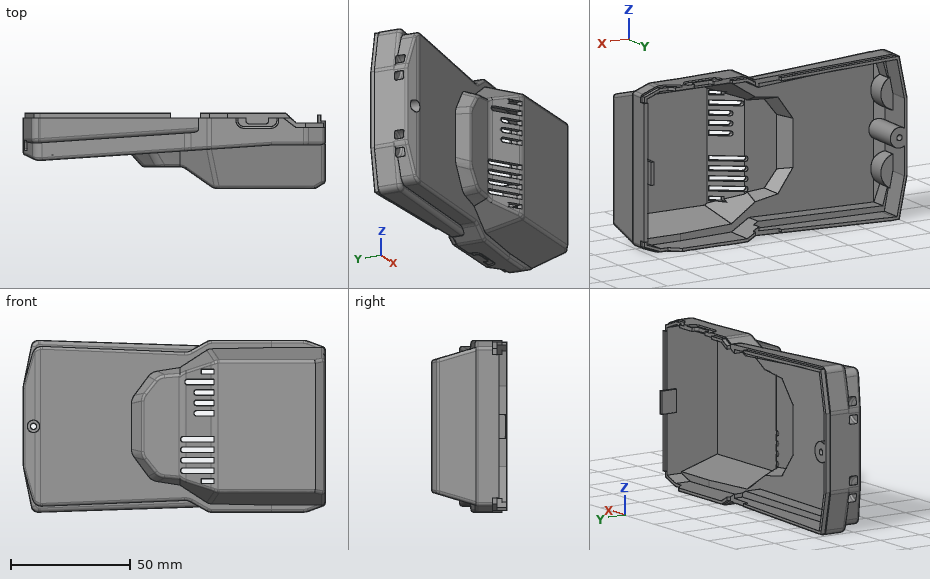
import cadquery as cq

LENGTH = 126.5
WIDTH = 72.0
DEPTH = 31.6
HALF_WIDTH = WIDTH / 2
WALL = 2.0
CLEAR = 10.0
EDGE_FILLET = 1.2
END_MARGIN = 0.4
CORNER_REACH = 1.0
FRONT_NORMAL_Y = -0.5
TOLERANCE = 0.1

FLANGE_DEPTH = 13.4
SLOPE_END_X = 104.0
SLOPE = 0.067
END_HALF_WIDTH = 17.0
END_CORNER_RADIUS = 8.0
END_CHAMFER_X = 6.0
END_BLEND_RADIUS = 5.0
END_CHAMFER_DEPTH = 17.2

STEP_END_X = 73.5
STEP_END_DEPTH = 8.0
STEP_END_HALF_WIDTH = 33.8
STEP_CORNER_X = 3.9
STEP_WIDEST_X = 7.0
STEP_CORNER_RADIUS = 3.0
STEP_FILLET = 1.8

TRAY_CORNER = (4.8, 33.6)
TRAY_NECK = (69.0, 31.0)
HEAD_SHOULDER_X = 77.8
HEAD_TAPER_X = 118.4
HEAD_END_HALF_WIDTH = 33.0
TRAY_CORNER_RADIUS = 4.0
TRAY_NECK_RADIUS = 5.0
HEAD_SHOULDER_RADIUS = 4.0
HEAD_TAPER_RADIUS = 6.0
HEAD_END_RADIUS = 1.5

STEP_HALF = [
    (0, END_HALF_WIDTH),
    (STEP_CORNER_X, HALF_WIDTH),
    (STEP_WIDEST_X, HALF_WIDTH),
    (STEP_END_X, STEP_END_HALF_WIDTH),
]
TRAY_HALF = [
    (0, END_HALF_WIDTH),
    TRAY_CORNER,
    TRAY_NECK,
    (HEAD_SHOULDER_X, HALF_WIDTH),
    (HEAD_TAPER_X, HALF_WIDTH),
    (LENGTH, HEAD_END_HALF_WIDTH),
]
TRAY_ROUNDING = [
    (0, END_CORNER_RADIUS),
    (TRAY_CORNER[0], TRAY_CORNER_RADIUS),
    (TRAY_NECK[0], TRAY_NECK_RADIUS),
    (HEAD_SHOULDER_X, HEAD_SHOULDER_RADIUS),
    (HEAD_TAPER_X, HEAD_TAPER_RADIUS),
    (LENGTH, HEAD_END_RADIUS),
]

ROOT_DEPTH = 13.0
BUMP_DEPTH = 22.5
BUMP_END_X = 76.0
BUMP_ROOT = [(41.4, 10.4), (51.6, 23.8), (BUMP_END_X, 27.5)]
BUMP_FRONT = [(50.0, 12.5), (57.0, 21.2), (BUMP_END_X, 22.6)]
HEAD_ROOT = [(62.6, 24.0), (77.3, 33.1), (LENGTH, 33.1)]
HEAD_FRONT = [(65.8, 18.0), (81.1, 27.6), (LENGTH, 27.6)]
BUMP_CORNER_RADIUS = 6.0
BUMP_FILLET = 1.5
RAMP_START_X = 66.9
RAMP_END_X = 79.9
RAMP_RADIUS = 5.0
HEAD_NECK_RADIUS = 4.0
HEAD_CHAMFER_X = 122.3
HEAD_CHAMFER_DEPTH = 29.0
HEAD_FILLET = 1.5

RIM_DEPTH = 2.0
LIP_INSET = 0.7
LIP_GAP = (61.7, 74.2)
LIP_SIDE_START = 85.6
LIP_DROP_X = 109.9
WALL_DROP_X = 108.9
LOW_END_X = 114.3
LOW_DEPTH = 4.1
PANEL_THICKNESS = 1.8
PANEL_DEPTH = 3.3
PANEL_WIDTH = 60.0
TAB_WIDTH = 10.0
TAB_THICKNESS = 1.4
TAB_DEPTH = 0.7

CLIP_X = 98.05
NOTCH_LENGTH = 9.5
NOTCH_DEPTH = 4.5
NOTCH_RADIUS = 1.3
RECESS_LENGTH = 16.3
RECESS_DEPTH = 5.6
RECESS_RADIUS = 2.5
RECESS_INSET = 0.4
RECESS_TAPER = 63.0

SLOT_WIDTH = 2.2
SLOT_END_RADIUS = 0.9
SLOT_END_X = 79.8
SLOT_FIRST_Z = 5.45
SLOT_PITCH = 4.37
UPPER_SLOT_STARTS = [71.6, 71.6, 71.6, 67.8]
LOWER_SLOT_STARTS = [66.0, 66.0, 66.0, 66.0]
OUTER_SLOT_START = 74.6
OUTER_SLOT_WIDTH = 1.9

SCREW_X = 4.3
SCREW_DIAMETER = 2.5
SCREW_HEAD_DIAMETER = 5.2
SCREW_HEAD_DEPTH = 15.0
SCREW_BOSS_DIAMETER = 9.0
TUNNEL_Z = 17.0
TUNNEL_OUTER_RADIUS = 5.8
TUNNEL_INNER_RADIUS = 2.0
TUNNEL_DEPTHS = (11.5, 15.7)
TUNNEL_FILLET = 0.8


def slope_depth(x):
    return FLANGE_DEPTH + SLOPE * (SLOPE_END_X - x)


def at_depth(depth):
    """Workplane facing -Y at the given depth; local x is X, local y is Z."""
    return cq.Workplane("XZ", origin=(0, -depth, 0))


def mirrored(half):
    """Closed symmetric outline from its upper half."""
    return half + [(x, -z) for x, z in reversed(half)]


def plan_prism(half, inset):
    """Full depth prism from the upper half of an (X, Z) outline."""
    sketch = at_depth(0).polyline(mirrored(half)).close()
    if inset:
        sketch = sketch.offset2D(-inset, "intersection")
    return sketch.extrude(DEPTH)


def side_prism(points, inset=0):
    """Prism across the whole width from (X, depth) points."""
    sketch = cq.Workplane("XY", origin=(0, 0, -WIDTH)).polyline([(x, -d) for x, d in points]).close()
    if inset:
        sketch = sketch.offset2D(-inset, "intersection")
    return sketch.extrude(2 * WIDTH)


def loft_prism(root, front, front_depth, inset):
    """Straight sided loft from the common root to a smaller outline in front."""
    root_wire = at_depth(ROOT_DEPTH - inset).polyline(mirrored(root)).close()
    front_wire = at_depth(front_depth - inset).polyline(mirrored(front)).close()
    if inset:
        root_wire = root_wire.offset2D(-inset, "intersection")
        front_wire = front_wire.offset2D(-inset, "intersection")
    solid = cq.Solid.makeLoft([root_wire.val(), front_wire.val()], True)
    return cq.Workplane("XY").add(solid)


def round_corners(body, x, radius):
    """Round the upright edges near the given X on both sides."""
    near = cq.selectors.BoxSelector((x - CORNER_REACH, -DEPTH, -WIDTH), (x + CORNER_REACH, DEPTH, WIDTH))
    return body.edges("|Y").edges(near).fillet(radius)


def round_front(body, radius, start_x=END_MARGIN):
    """Round the outline of the faces that look toward -Y, from start_x on.

    Edges between those faces stay sharp.
    """
    front_faces = [face for face in body.faces().vals() if face.normalAt().y < FRONT_NORMAL_Y]
    edges = [edge for face in front_faces for edge in face.Edges()]
    outline = [edge for edge in edges if sum(edge.isSame(other) for other in edges) == 1]
    outline = [edge for edge in outline if edge.Center().x > start_x]
    return body.newObject(outline).fillet(radius)


def grip_step():
    body = step_body()
    body = round_corners(body, STEP_CORNER_X, STEP_CORNER_RADIUS)
    body = round_corners(body, 0, END_CORNER_RADIUS)
    return round_front(body, STEP_FILLET)


def step_body(inset=0):
    front = STEP_END_DEPTH + SLOPE * STEP_END_X
    profile = [(0, -CLEAR), (0, front), (STEP_END_X, STEP_END_DEPTH), (STEP_END_X, -CLEAR)]
    return plan_prism(STEP_HALF, inset).intersect(side_prism(profile, inset))


def tray_body(inset=0):
    profile = [
        (0, -CLEAR),
        (0, END_CHAMFER_DEPTH),
        (END_CHAMFER_X, slope_depth(END_CHAMFER_X)),
        (SLOPE_END_X, FLANGE_DEPTH),
        (LENGTH, FLANGE_DEPTH),
        (LENGTH, -CLEAR),
    ]
    return plan_prism(TRAY_HALF, inset).intersect(side_prism(profile, inset))


def middle_edge(x, depth):
    """Selects the edge across the part whose middle lies at the given X and depth."""
    return cq.selectors.BoxSelector(
        (x - TOLERANCE, -depth - TOLERANCE, -TOLERANCE),
        (x + TOLERANCE, -depth + TOLERANCE, TOLERANCE),
    )


def tray():
    body = tray_body()
    for x, radius in TRAY_ROUNDING:
        body = round_corners(body, x, radius)
    vertex = middle_edge(END_CHAMFER_X, slope_depth(END_CHAMFER_X))
    body = body.edges(vertex).fillet(END_BLEND_RADIUS)
    return round_front(body, EDGE_FILLET)


def bump_body(inset=0):
    return loft_prism(BUMP_ROOT, BUMP_FRONT, BUMP_DEPTH, inset)


def bump():
    body = bump_body()
    upright = body.edges(cq.selectors.BoxSelector(
        (0, -BUMP_DEPTH + TOLERANCE, -WIDTH), (BUMP_FRONT[1][0], -ROOT_DEPTH - TOLERANCE, WIDTH)))
    body = upright.fillet(BUMP_CORNER_RADIUS)
    return body.faces("<Y").edges("not >X").fillet(BUMP_FILLET)


def head_body(end_corner, inset=0):
    """Lofted head cut by the ramp; end_corner lists the (X, depth) points of its front right corner."""
    profile = [
        (RAMP_START_X - CLEAR, -CLEAR),
        (RAMP_START_X - CLEAR, BUMP_DEPTH),
        (RAMP_START_X, BUMP_DEPTH),
        (RAMP_END_X, DEPTH),
        *end_corner,
        (LENGTH, -CLEAR),
    ]
    return loft_prism(HEAD_ROOT, HEAD_FRONT, DEPTH, inset).intersect(side_prism(profile, inset))


def between(root_point, front_point):
    """Selects the edges on both sides whose middle lies between two X positions."""
    x_start = min(root_point[0], front_point[0]) - TOLERANCE
    x_end = max(root_point[0], front_point[0]) + TOLERANCE
    near_z = front_point[1] + TOLERANCE
    near_depth = ROOT_DEPTH + TOLERANCE
    far_depth = DEPTH - TOLERANCE
    upper = cq.selectors.BoxSelector((x_start, -far_depth, near_z), (x_end, -near_depth, WIDTH))
    lower = cq.selectors.BoxSelector((x_start, -far_depth, -WIDTH), (x_end, -near_depth, -near_z))
    return upper + lower


def head():
    body = head_body([(HEAD_CHAMFER_X, DEPTH), (LENGTH, HEAD_CHAMFER_DEPTH)])
    body = body.edges(between(HEAD_ROOT[1], HEAD_FRONT[1])).fillet(HEAD_NECK_RADIUS)
    body = body.edges(between(HEAD_ROOT[2], HEAD_FRONT[2])).fillet(HEAD_END_RADIUS)
    ramp_edges = middle_edge(RAMP_START_X, BUMP_DEPTH) + middle_edge(RAMP_END_X, DEPTH)
    body = body.edges(ramp_edges).fillet(RAMP_RADIUS)
    return round_front(body, HEAD_FILLET, RAMP_START_X + TOLERANCE)


def outer_body():
    return grip_step().union(tray()).union(bump()).union(head())


def cavity():
    """Inside of the shell, open at the back."""
    inside = step_body(WALL).union(tray_body(WALL))
    inside = inside.union(bump_body(WALL)).union(head_body([(LENGTH, DEPTH)], WALL))
    return inside.cut(grip_bosses())


def grip_bosses():
    """Solid left inside the grip end around the screw and the strap tunnels."""
    bosses = at_depth(0).center(SCREW_X, 0).circle(SCREW_BOSS_DIAMETER / 2).extrude(DEPTH)
    for side in (-1, 1):
        tunnel_wall = (
            at_depth(TUNNEL_DEPTHS[0] - WALL)
            .center(0, side * TUNNEL_Z)
            .circle(TUNNEL_OUTER_RADIUS + WALL)
            .extrude(DEPTH)
        )
        bosses = bosses.union(tunnel_wall)
    return bosses


def lip_outline():
    """Full height prism inside the inset outline of the lip."""
    return plan_prism(STEP_HALF, LIP_INSET).union(plan_prism(TRAY_HALF, LIP_INSET))


def rim_profile(top, drop_start):
    """Material removed above a rim that lies at depth top and then drops toward the head end."""
    low = top + LOW_DEPTH
    return side_prism([
        (-CLEAR, -CLEAR),
        (-CLEAR, top),
        (drop_start, top),
        (LOW_END_X, low),
        (LENGTH + CLEAR, low),
        (LENGTH + CLEAR, -CLEAR),
    ])


def clip_outline(plane_z, length, depth, radius):
    """Rounded rectangle on both sides of the back edge."""
    return (
        cq.Workplane("XY", origin=(CLIP_X, 0, plane_z))
        .sketch()
        .rect(length, 2 * depth)
        .vertices()
        .fillet(radius)
        .finalize()
    )


def cut_rim(body):
    notch = clip_outline(-WIDTH, NOTCH_LENGTH, NOTCH_DEPTH, NOTCH_RADIUS).extrude(2 * WIDTH)
    beside_lip = rim_profile(RIM_DEPTH, WALL_DROP_X).union(notch).cut(lip_outline())
    body = body.cut(beside_lip).cut(rim_profile(0, LIP_DROP_X))
    gap_start, gap_end = LIP_GAP
    gap = side_prism([(gap_start, -CLEAR), (gap_start, RIM_DEPTH), (gap_end, RIM_DEPTH), (gap_end, -CLEAR)])
    return body.cut(gap)


def open_clip_side(body):
    """Remove the lip along the clip on the +Z side and take the notch through the wall there."""
    missing_lip = cq.Workplane("XY").box(
        LOW_END_X - LIP_SIDE_START, RIM_DEPTH, WIDTH, centered=(False, False, False))
    notch = clip_outline(0, NOTCH_LENGTH, NOTCH_DEPTH, NOTCH_RADIUS).extrude(WIDTH)
    return body.cut(missing_lip.translate((LIP_SIDE_START, -RIM_DEPTH, 0))).cut(notch)


def cut_clip_recesses(body):
    recess = clip_outline(HALF_WIDTH - RECESS_INSET, RECESS_LENGTH, RECESS_DEPTH, RECESS_RADIUS)
    recess = recess.extrude(RECESS_INSET, taper=-RECESS_TAPER)
    return body.cut(recess).cut(recess.mirror("XY"))


def add_end_panel(body):
    """Raise a panel and a small tab from the low rim of the end wall."""
    foot = LOW_DEPTH + RIM_DEPTH + WALL
    panel_start = LENGTH - PANEL_THICKNESS
    centered = (False, False, True)
    panel = cq.Workplane("XY").box(PANEL_THICKNESS, foot - PANEL_DEPTH, PANEL_WIDTH, centered=centered)
    tab = cq.Workplane("XY").box(TAB_THICKNESS, foot - TAB_DEPTH, TAB_WIDTH, centered=centered)
    body = body.union(panel.translate((panel_start, -foot, 0)))
    return body.union(tab.translate((panel_start - TAB_THICKNESS, -foot, 0)))


def cut_slot(body, start_x, z, width, end_radius):
    length = SLOT_END_X - start_x
    slot = at_depth(0).center(start_x + length / 2, z).rect(length, width).extrude(DEPTH)
    if end_radius:
        slot = slot.faces("<X").edges("|Y").fillet(end_radius)
    return body.cut(slot)


def cut_vents(body):
    for side, starts in ((1, UPPER_SLOT_STARTS), (-1, LOWER_SLOT_STARTS)):
        for row, start_x in enumerate(starts):
            z = side * (SLOT_FIRST_Z + row * SLOT_PITCH)
            body = cut_slot(body, start_x, z, SLOT_WIDTH, SLOT_END_RADIUS)
        z = side * (SLOT_FIRST_Z + len(starts) * SLOT_PITCH)
        body = cut_slot(body, OUTER_SLOT_START, z, OUTER_SLOT_WIDTH, 0)
    return body


def cut_screw_hole(body):
    hole = at_depth(0).center(SCREW_X, 0).circle(SCREW_DIAMETER / 2).extrude(DEPTH)
    head_seat = (
        at_depth(SCREW_HEAD_DEPTH).center(SCREW_X, 0).circle(SCREW_HEAD_DIAMETER / 2).extrude(DEPTH)
    )
    return body.cut(hole).cut(head_seat)


def cut_strap_tunnels(body):
    """Curved tunnels that enter the end face and leave through its slanted sides."""
    start, end = TUNNEL_DEPTHS
    for side in (-1, 1):
        tunnel = (
            at_depth(start)
            .center(0, side * TUNNEL_Z)
            .circle(TUNNEL_OUTER_RADIUS)
            .circle(TUNNEL_INNER_RADIUS)
            .extrude(end - start)
            .edges()
            .fillet(TUNNEL_FILLET)
        )
        body = body.cut(tunnel)
    return body


result = outer_body().cut(cavity())
result = cut_rim(result)
result = open_clip_side(result)
result = cut_clip_recesses(result)
result = add_end_panel(result)
result = cut_vents(result)
result = cut_screw_hole(result)
result = cut_strap_tunnels(result)